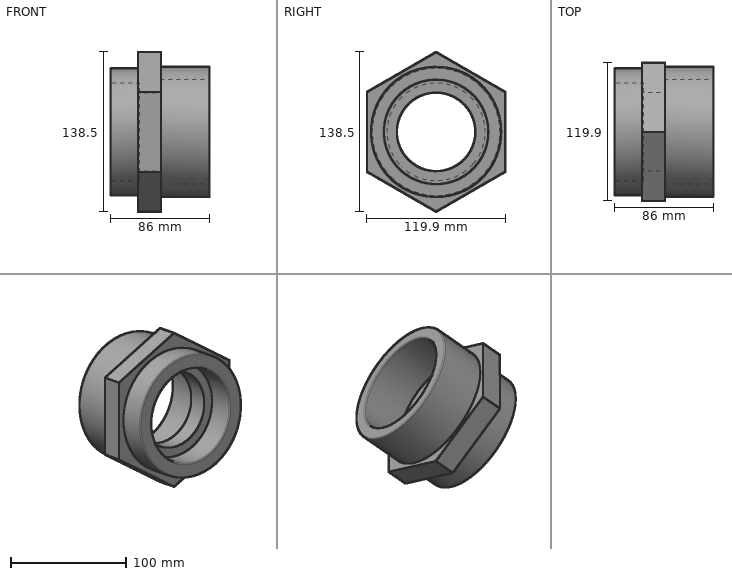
import cadquery as cq
import math

total_length = 86.0
hex_across_corners = 138.5
hex_start = 23.8
hex_width = 20.1

front_diameter = 110.5
rear_diameter = 113.0
rim_radius = 1.0

front_socket_diameter = 85.0
front_socket_depth = 25.4
throat_diameter = 67.9
rear_socket_diameter = 90.5

hex_end = hex_start + hex_width


def cylinder(diameter, start, end):
    """Solid cylinder along X between two stations."""
    return cq.Workplane("YZ", origin=(start, 0, 0)).circle(diameter / 2).extrude(end - start)


def hexagon_collar():
    """Hexagonal wrench collar with two corners on the Z axis."""
    radius = hex_across_corners / 2
    corner_angles = [math.radians(90 + 60 * i) for i in range(6)]
    corners = [(radius * math.cos(a), radius * math.sin(a)) for a in corner_angles]
    return cq.Workplane("YZ", origin=(hex_start, 0, 0)).polyline(corners).close().extrude(hex_width)


front_body = cylinder(front_diameter, 0, hex_end)
rear_body = cylinder(rear_diameter, hex_start, total_length)

fitting = (
    hexagon_collar()
    .union(front_body)
    .union(rear_body)
    .cut(cylinder(front_socket_diameter, 0, front_socket_depth))
    .cut(cylinder(throat_diameter, 0, total_length))
    .cut(cylinder(rear_socket_diameter, hex_end, total_length))
)

result = fitting.faces("<X or >X").edges().fillet(rim_radius)